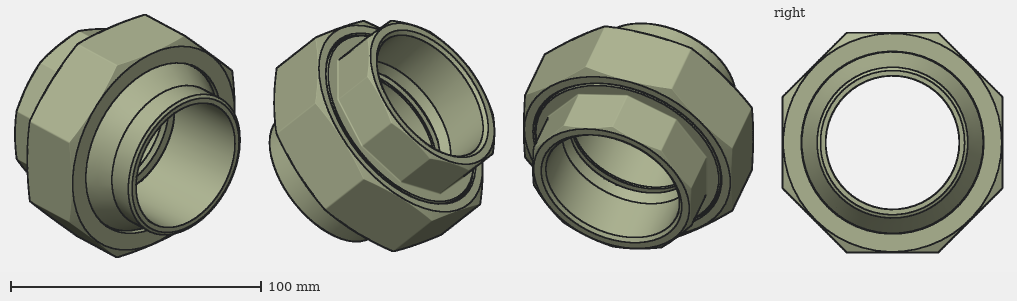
import cadquery as cq
import math

total_length = 65.0
nut_start = 19.1
nut_length = 26.9
nut_end = nut_start + nut_length
joint_x = 28.3
cone_end = 54.5

nut_sides = 8
nut_across_flats = 88.0
nut_edge_radius = 1.0
nut_face_diameter = 87.3
nut_chamfer_angle = 23.0
nut_chamfer_edge_radius = 0.3
nut_mouth_diameter = 80.0
nut_lip_hole_diameter = 73.0
nut_lip_length = 5.3
lip_start = nut_end - nut_lip_length

grip_sides = 10
grip_across_flats = 67.0
grip_edge_radius = 1.0
grip_face_diameter = 66.0
grip_chamfer_angle = 30.0
grip_chamfer_edge_radius = 0.4
grip_root_radius = 0.5
collar_diameter = 78.85
collar_face_diameter = 77.5
thread_diameter = 56.7
thread_mouth_diameter = 59.6
thread_end = 21.0
narrowing_end = 25.5
recess_diameter = 61.0

through_bore_diameter = 53.3
neck_diameter = 72.5
stub_diameter = 60.3
cone_half_angle = 30.0
bore_chamfer = 0.5
bevel_length = 0.8
bevel_depth = 1.3


def revolved(points):
    """Turn an outline of (x, radius) points around the X axis."""
    return cq.Workplane("XY").polyline(points).close().revolve(360, (0, 0, 0), (1, 0, 0))


def rod(diameter, start, end):
    """Round bar along the X axis."""
    return cq.Workplane("YZ", origin=(start, 0, 0)).circle(diameter / 2).extrude(end - start)


def polygon_bar(sides, across_flats, start, end, edge_radius):
    """Regular bar along the X axis with flats facing +Y and -Y and rounded long edges."""
    corner_radius = across_flats / 2 / math.cos(math.pi / sides)
    corners = []
    for index in range(sides):
        angle = (index + 0.5) * 2 * math.pi / sides
        corners.append((corner_radius * math.cos(angle), corner_radius * math.sin(angle)))
    bar = cq.Workplane("YZ", origin=(start, 0, 0)).polyline(corners).close().extrude(end - start)
    return bar.edges("|X").fillet(edge_radius)


def corner_chamfer_size(across_flats, sides, face_diameter, angle):
    """Outer radius beyond all corners, and the axial length a corner chamfer takes to reach it."""
    outer_radius = across_flats / 2 / math.cos(math.pi / sides)
    length = (outer_radius - face_diameter / 2) * math.tan(math.radians(angle))
    return outer_radius, length


def is_chamfer_edge(edge):
    """True for an edge that is neither straight nor a circle around an end face."""
    return edge.geomType() not in ("LINE", "CIRCLE")


def round_chamfer_edges(body, radius):
    """Round the curved edges that the corner chamfers leave along the flats."""
    solid = body.val()
    edges = [edge for edge in solid.Edges() if is_chamfer_edge(edge)]
    return cq.Workplane(obj=solid.fillet(radius, edges))


def make_nut():
    outer_radius, chamfer = corner_chamfer_size(
        nut_across_flats, nut_sides, nut_face_diameter, nut_chamfer_angle
    )
    envelope = revolved([
        (nut_start, 0),
        (nut_start, nut_face_diameter / 2),
        (nut_start + chamfer, outer_radius),
        (nut_end - chamfer, outer_radius),
        (nut_end, nut_face_diameter / 2),
        (nut_end, 0),
    ])
    body = polygon_bar(nut_sides, nut_across_flats, nut_start, nut_end, nut_edge_radius)
    body = round_chamfer_edges(body.intersect(envelope), nut_chamfer_edge_radius)

    mouth_chamfer = (nut_mouth_diameter - collar_diameter) / 2
    cavity = revolved([
        (nut_start, 0),
        (nut_start, nut_mouth_diameter / 2),
        (nut_start + mouth_chamfer, collar_diameter / 2),
        (lip_start, collar_diameter / 2),
        (lip_start, nut_lip_hole_diameter / 2),
        (nut_end, nut_lip_hole_diameter / 2),
        (nut_end, 0),
    ])
    return body.cut(cavity)


def make_threaded_end():
    outer_radius, chamfer = corner_chamfer_size(
        grip_across_flats, grip_sides, grip_face_diameter, grip_chamfer_angle
    )
    envelope = revolved([
        (0, 0),
        (0, grip_face_diameter / 2),
        (chamfer, outer_radius),
        (nut_start, outer_radius),
        (nut_start, 0),
    ])
    grip = polygon_bar(grip_sides, grip_across_flats, 0, nut_start, grip_edge_radius)
    grip = round_chamfer_edges(grip.intersect(envelope), grip_chamfer_edge_radius)

    collar_chamfer = (collar_diameter - collar_face_diameter) / 2
    collar = rod(collar_diameter, nut_start, joint_x).faces("<X").chamfer(collar_chamfer)
    body = grip.union(collar)
    root_edges = cq.selectors.BoxSelector(
        (nut_start - grip_root_radius / 2, -outer_radius, -outer_radius),
        (nut_start + grip_root_radius / 2, outer_radius, outer_radius),
        boundingbox=True,
    )
    body = body.edges(root_edges).fillet(grip_root_radius)

    mouth_chamfer = (thread_mouth_diameter - thread_diameter) / 2
    bore = revolved([
        (0, 0),
        (0, thread_mouth_diameter / 2),
        (mouth_chamfer, thread_diameter / 2),
        (thread_end, thread_diameter / 2),
        (narrowing_end, through_bore_diameter / 2),
        (narrowing_end, recess_diameter / 2),
        (joint_x, recess_diameter / 2),
        (joint_x, 0),
    ])
    return body.cut(bore)


def make_tailpiece():
    stub_radius = stub_diameter / 2
    neck_radius = neck_diameter / 2
    cone_start = cone_end - (neck_radius - stub_radius) / math.tan(math.radians(cone_half_angle))
    bore_radius = through_bore_diameter / 2
    return revolved([
        (joint_x + bore_chamfer, bore_radius),
        (joint_x, bore_radius + bore_chamfer),
        (joint_x, collar_diameter / 2),
        (lip_start, collar_diameter / 2),
        (lip_start, neck_radius),
        (cone_start, neck_radius),
        (cone_end, stub_radius),
        (total_length - bevel_length, stub_radius),
        (total_length, stub_radius - bevel_depth),
        (total_length, bore_radius),
    ])


nut = make_nut()
threaded_end = make_threaded_end()
tailpiece = make_tailpiece()

result = cq.Compound.makeCompound([nut.val(), threaded_end.val(), tailpiece.val()])